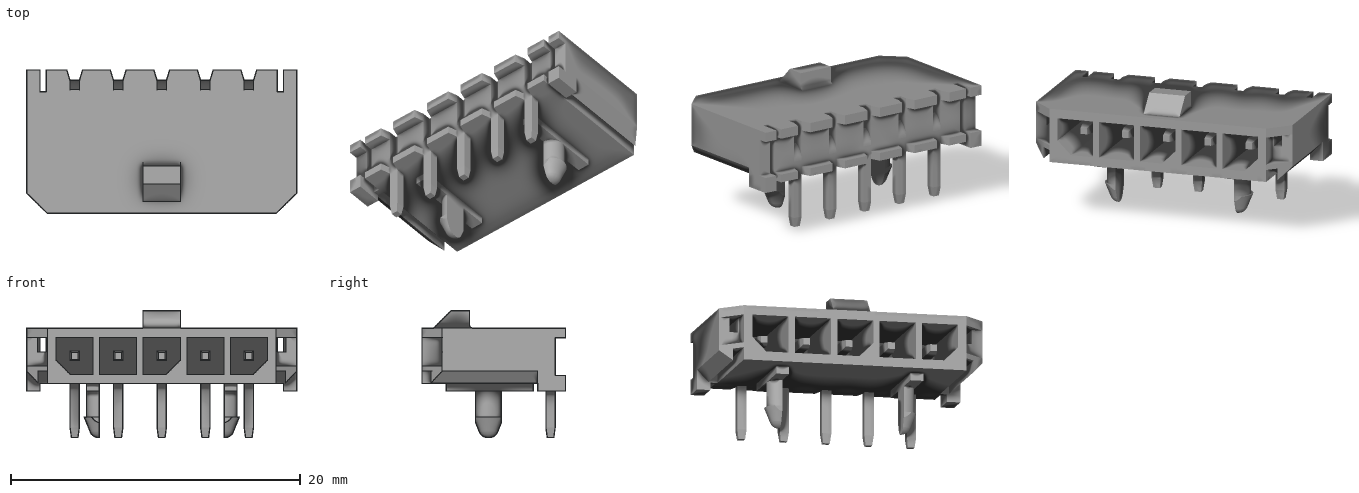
import cadquery as cq
import math


LENGTH = 18.65
DEPTH = 9.9
BODY_HEIGHT = 3.82
TOTAL_HEIGHT = 8.77
LATCH_HEIGHT = 1.21
STANDOFF = 0.52
CORNER_X = 1.44
CORNER_Y = 1.4
EDGE_CHAMFER_WIDTH = 0.84
EDGE_CHAMFER_HEIGHT = 0.85
HALF_LENGTH = LENGTH / 2
FACE_HALF_WIDTH = HALF_LENGTH - CORNER_X

PIN_COUNT = 5
PITCH = 3.0
PIN_WIDTH = 0.65
PIN_TIP_WIDTH = 0.47
PIN_TIP_LENGTH = 0.69
PIN_BEND_RADIUS = 1.21
PIN_FRONT = 1.86
PIN_AXIS_HEIGHT = 1.9
PIN_BOTTOM = BODY_HEIGHT + LATCH_HEIGHT - TOTAL_HEIGHT
PIN_POSITIONS = [(i - (PIN_COUNT - 1) / 2) * PITCH for i in range(PIN_COUNT)]

CAVITY_SIZE = 2.55
CAVITY_DEPTH = 7.09
KEY_CUT = 0.97
KEY_SIDES = [-1, 0, 1, 0, 1]

BACK_NOTCH_DEPTH = 0.7
BACK_NOTCH_BOTTOM = 0.56
BACK_NOTCH_TOP = 3.15
SLOT_MOUTH_WIDTH = 1.08
PIN_BACK = DEPTH - BACK_NOTCH_DEPTH
FOOT_WIDTH = 0.93
FOOT_DEPTH = 1.92
EAR_SLOT_WIDTH = 0.41
EAR_SLOT_DEPTH = 1.51

POCKET_BOTTOM = 1.21
POCKET_TOP = 3.17
WINDOW_WIDTH = 0.6
WINDOW_BOTTOM = 2.18
UNDERCUT_WIDTH = 0.63

LATCH_WIDTH = 2.61
LATCH_FRONT = 0.8
LATCH_BACK = 3.28
LATCH_FILLET = 0.25

PEG_FLAT_X = 4.3
PEG_RADIUS = 0.9
PEG_Y = 4.59
RAIL_FRONT = 1.66
RAIL_BACK = 7.68
BARB_RADIUS = 1.05
BARB_TOP = -2.31
NOSE_RADIUS = 0.63
NOSE_TOP = -3.34


def box(x0, x1, y0, y1, z0, z1):
    return cq.Workplane("XY").box(x1 - x0, y1 - y0, z1 - z0, centered=False).translate((x0, y0, z0))


def prism_z(points, z0, z1):
    return cq.Workplane("XY").workplane(offset=z0).polyline(points).close().extrude(z1 - z0)


def both_sides(shape):
    return shape.union(shape.mirror("YZ"))


def make_body():
    outline = [
        (-FACE_HALF_WIDTH, 0),
        (FACE_HALF_WIDTH, 0),
        (HALF_LENGTH, CORNER_Y),
        (HALF_LENGTH, DEPTH),
        (-HALF_LENGTH, DEPTH),
        (-HALF_LENGTH, CORNER_Y),
    ]
    body = prism_z(outline, 0, BODY_HEIGHT)
    edge_chamfer = (
        cq.Workplane("XZ")
        .moveTo(HALF_LENGTH, 0)
        .lineTo(HALF_LENGTH - EDGE_CHAMFER_WIDTH, 0)
        .lineTo(HALF_LENGTH, EDGE_CHAMFER_HEIGHT)
        .close()
        .extrude(-DEPTH)
    )
    body = body.cut(both_sides(edge_chamfer))
    foot_inner = HALF_LENGTH - FOOT_WIDTH
    foot = box(foot_inner, HALF_LENGTH, DEPTH - FOOT_DEPTH, DEPTH, -STANDOFF, EDGE_CHAMFER_HEIGHT)
    body = body.union(both_sides(foot))
    back_notch = box(-HALF_LENGTH, HALF_LENGTH, PIN_BACK, DEPTH, BACK_NOTCH_BOTTOM, BACK_NOTCH_TOP)
    return body.cut(back_notch)


def make_corner_cuts():
    """Pocket, undercut, window and ear slot at each end of the housing."""
    pocket = prism_z(
        [(FACE_HALF_WIDTH, 0), (HALF_LENGTH, CORNER_Y), (FACE_HALF_WIDTH, CORNER_Y)],
        POCKET_BOTTOM,
        POCKET_TOP,
    )
    undercut = box(
        FACE_HALF_WIDTH, FACE_HALF_WIDTH + UNDERCUT_WIDTH, 0, DEPTH - FOOT_DEPTH, 0, EDGE_CHAMFER_HEIGHT
    )
    ear_slot_front = DEPTH - EAR_SLOT_DEPTH
    ear_slot_right = HALF_LENGTH - FOOT_WIDTH
    ear_slot_left = ear_slot_right - EAR_SLOT_WIDTH
    ear_slot = box(ear_slot_left, ear_slot_right, ear_slot_front, DEPTH, 0, BODY_HEIGHT)
    window = box(
        ear_slot_left, ear_slot_left + WINDOW_WIDTH, CORNER_Y, ear_slot_front, WINDOW_BOTTOM, POCKET_TOP
    )
    return both_sides(pocket.union(undercut).union(window).union(ear_slot))


def make_cavity(x, key_side):
    bottom = (BODY_HEIGHT - CAVITY_SIZE) / 2
    cavity = box(x - CAVITY_SIZE / 2, x + CAVITY_SIZE / 2, 0, CAVITY_DEPTH, bottom, bottom + CAVITY_SIZE)
    if key_side:
        corner_x = x + key_side * CAVITY_SIZE / 2
        key = (
            cq.Workplane("XZ")
            .moveTo(corner_x, bottom)
            .lineTo(corner_x - key_side * KEY_CUT, bottom)
            .lineTo(corner_x, bottom + KEY_CUT)
            .close()
            .extrude(-CAVITY_DEPTH)
        )
        cavity = cavity.cut(key)
    return cavity


def make_pin_slot(x):
    """Slot in the back edge for the pin tail, with a tapered mouth."""
    slot_front = PIN_BACK - PIN_WIDTH
    outline = [
        (x - PIN_WIDTH / 2, slot_front),
        (x + PIN_WIDTH / 2, slot_front),
        (x + PIN_WIDTH / 2, PIN_BACK),
        (x + SLOT_MOUTH_WIDTH / 2, DEPTH),
        (x - SLOT_MOUTH_WIDTH / 2, DEPTH),
        (x - PIN_WIDTH / 2, PIN_BACK),
    ]
    return prism_z(outline, 0, BODY_HEIGHT)


def make_latch():
    """Ramp with a 45 degree front and a concave fillet at the foot of its back."""
    top = BODY_HEIGHT + LATCH_HEIGHT
    sink = LATCH_FILLET * (1 - math.sqrt(0.5))
    return (
        cq.Workplane("YZ")
        .moveTo(LATCH_FRONT, BODY_HEIGHT)
        .lineTo(LATCH_FRONT + LATCH_HEIGHT, top)
        .lineTo(LATCH_BACK, top)
        .lineTo(LATCH_BACK, BODY_HEIGHT + LATCH_FILLET)
        .threePointArc((LATCH_BACK + sink, BODY_HEIGHT + sink), (LATCH_BACK + LATCH_FILLET, BODY_HEIGHT))
        .close()
        .extrude(LATCH_WIDTH / 2, both=True)
    )


def make_peg():
    """Half-round peg with a barbed, domed end, flat on its inner side and on the barb's front and back."""
    peg = (
        cq.Workplane("XZ")
        .moveTo(0, -STANDOFF)
        .lineTo(PEG_RADIUS, -STANDOFF)
        .lineTo(PEG_RADIUS, BARB_TOP)
        .lineTo(BARB_RADIUS, BARB_TOP)
        .lineTo(NOSE_RADIUS, NOSE_TOP)
        .tangentArcPoint((0, PIN_BOTTOM), relative=False)
        .close()
        .revolve(360, (0, 0, 0), (0, 1, 0))
    )
    envelope = box(0, BARB_RADIUS, -PEG_RADIUS, PEG_RADIUS, PIN_BOTTOM, 0)
    return peg.intersect(envelope).translate((PEG_FLAT_X, PEG_Y, 0))


def make_rail():
    return box(PEG_FLAT_X, PEG_FLAT_X + PEG_RADIUS, RAIL_FRONT, RAIL_BACK, -STANDOFF, 0)


def make_pin_tip():
    """Tapered square tip along +Z, with its wide end at the origin."""
    return (
        cq.Workplane("XY")
        .rect(PIN_WIDTH, PIN_WIDTH)
        .workplane(offset=PIN_TIP_LENGTH)
        .rect(PIN_TIP_WIDTH, PIN_TIP_WIDTH)
        .loft(ruled=True)
    )


def make_pin(x):
    """Square pin: a horizontal mating end, a quarter bend and a vertical board tail."""
    shank_front = PIN_FRONT + PIN_TIP_LENGTH
    shank_bottom = PIN_BOTTOM + PIN_TIP_LENGTH
    tail_y = PIN_BACK - PIN_WIDTH / 2
    bend_radius = PIN_BEND_RADIUS - PIN_WIDTH / 2
    bend_y = tail_y - bend_radius
    bend_z = PIN_AXIS_HEIGHT - bend_radius
    bend_mid = bend_radius * math.sqrt(0.5)
    path = (
        cq.Workplane("YZ")
        .moveTo(shank_front, PIN_AXIS_HEIGHT)
        .lineTo(bend_y, PIN_AXIS_HEIGHT)
        .threePointArc((bend_y + bend_mid, bend_z + bend_mid), (tail_y, bend_z))
        .lineTo(tail_y, shank_bottom)
    )
    section = cq.Workplane("XZ", origin=(0, shank_front, PIN_AXIS_HEIGHT)).rect(PIN_WIDTH, PIN_WIDTH)
    shank = section.sweep(path)
    mating_tip = make_pin_tip().rotate((0, 0, 0), (1, 0, 0), 90).translate((0, shank_front, PIN_AXIS_HEIGHT))
    board_tip = make_pin_tip().rotate((0, 0, 0), (1, 0, 0), 180).translate((0, tail_y, shank_bottom))
    return shank.union(mating_tip).union(board_tip).translate((x, 0, 0))


def make_housing(pins):
    housing = make_body().cut(make_corner_cuts())
    for x, key_side in zip(PIN_POSITIONS, KEY_SIDES):
        housing = housing.cut(make_cavity(x, key_side)).cut(make_pin_slot(x))
    housing = housing.union(make_latch())
    housing = housing.union(both_sides(make_rail().union(make_peg())))
    for pin in pins:
        housing = housing.cut(pin)
    return housing


pins = [make_pin(x) for x in PIN_POSITIONS]
housing = make_housing(pins)

result = cq.Compound.makeCompound([housing.val(), *[pin.val() for pin in pins]])